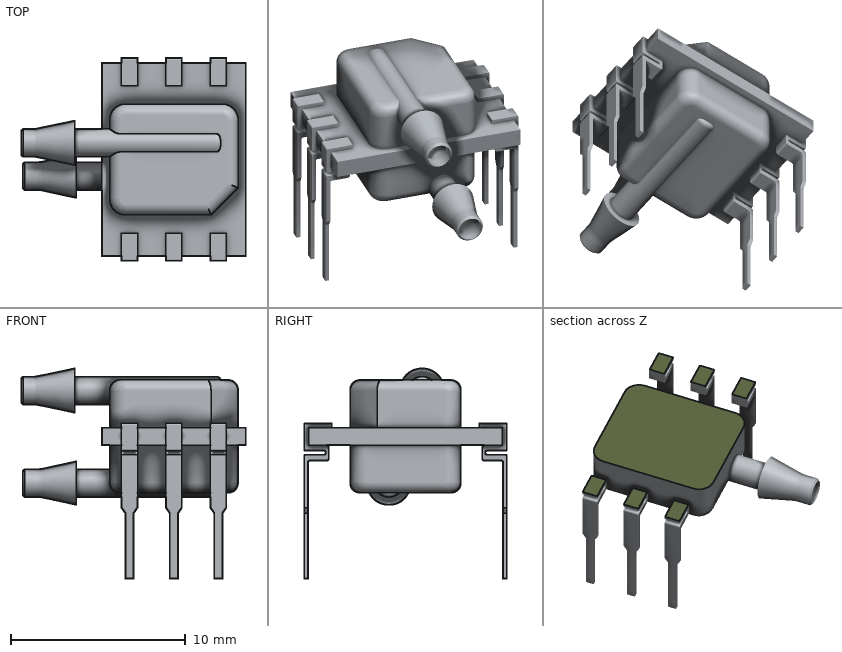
import cadquery as cq

PLATE_X = 8.23
PLATE_Y = 11.05
PLATE_Z = 1.0

HOUSING_X = 7.34
HOUSING_Y = 6.34
HOUSING_Z = 6.46
CORNER_RADIUS = 0.9
RIM_RADIUS = 0.6
KEY_CHAMFER = 1.55

TUBE_RADIUS = 0.8
BORE_RADIUS = 1.37 / 2
TUBE_END_X = 2.69
TUBE_END_FILLET = 0.28
PORT_OFFSET_Y = 0.95
UPPER_PORT_Z = 2.62
LOWER_PORT_Z = -2.67
PORT_SPACING_X = 0.09
TIP_CHAMFER = TUBE_RADIUS - BORE_RADIUS
OVERALL_X = 12.85
UPPER_TIP_X = PLATE_X / 2 - OVERALL_X
UPPER_BARB_START = 0.82
UPPER_BARB_END = 3.07
UPPER_BARB_RADIUS = 1.27
LOWER_BARB_START = 0.88
LOWER_BARB_END = 3.07
LOWER_BARB_RADIUS = 1.25
LOWER_COLLAR_LENGTH = 0.22
LOWER_COLLAR_RADIUS = 0.82

LEAD_PITCH = 2.54
LEADS_PER_ROW = 3
LEAD_OUTER_Y = 5.8
LEAD_THICKNESS = 0.25
PIN_THICKNESS = 0.23
LEAD_WIDTH = 0.92
PIN_WIDTH = 0.48
CLIP_INNER_Y = 4.21
FOLD_INNER_Y = 4.375
FOLD_BOTTOM_Z = -1.39
FOLD_SLOT_TOP_Z = -0.82
FOLD_SLOT_HEIGHT = 0.22
FOLD_SLOT_END_Y = 4.56
BEND_RADIUS = 0.1
FOLD_RADIUS = 0.15
SHOULDER_TOP_Z = -4.07
SHOULDER_BOTTOM_Z = -4.39
PIN_BOTTOM_Z = -8.13


def make_housing_half(height):
    """Plain block from the plate's mid-plane; a negative height goes down."""
    return cq.Workplane("XY").rect(HOUSING_X, HOUSING_Y).extrude(height)


def make_upper_housing():
    """Upper half, with one corner cut off to mark the orientation."""
    half = make_housing_half(HOUSING_Z / 2)
    half = half.edges("|Z and >X and <Y").chamfer(KEY_CHAMFER)
    half = half.edges("|Z and (<X or (>X and >Y))").fillet(CORNER_RADIUS)
    return half.faces(">Z").edges().fillet(RIM_RADIUS)


def make_lower_housing():
    """Lower half, with four round corners."""
    half = make_housing_half(-HOUSING_Z / 2)
    half = half.edges("|Z").fillet(CORNER_RADIUS)
    return half.faces("<Z").edges().fillet(RIM_RADIUS)


def make_port(tip_x, y, z, barb_profile):
    """Tube along X; barb_profile lists (distance from the tip, radius) along the barb."""
    barb_end = barb_profile[-1][0]
    tube_end = TUBE_END_X - tip_x
    profile = [(0, 0), (0, TUBE_RADIUS - TIP_CHAMFER), (TIP_CHAMFER, TUBE_RADIUS)]
    profile += barb_profile
    profile += [(barb_end, TUBE_RADIUS), (tube_end, TUBE_RADIUS), (tube_end, 0)]
    port = cq.Workplane("XY").polyline(profile).close().revolve(360, (0, 0, 0), (1, 0, 0))
    port = port.faces(">X").edges().fillet(TUBE_END_FILLET)
    return port.translate((tip_x, y, z))


def make_bore(tip_x, y, z):
    """Bore from the port's tip to the wall of the housing."""
    depth = -HOUSING_X / 2 - tip_x
    return cq.Workplane("YZ", origin=(tip_x, y, z)).circle(BORE_RADIUS).extrude(depth)


def fillet_bend(lead, y, z, radius):
    """Round the lead's edge along X at the given Y and Z."""
    bend_edge = cq.selectors.NearestToPointSelector((0, y, z))
    return lead.edges(bend_edge).fillet(radius)


def make_lead():
    """Lead on the +Y side at X = 0: clip around the plate, inward fold, and straight pin."""
    clip_top = PLATE_Z / 2 + LEAD_THICKNESS
    slot_bottom = FOLD_SLOT_TOP_Z - FOLD_SLOT_HEIGHT
    pin_inner_y = LEAD_OUTER_Y - PIN_THICKNESS
    side_profile = [
        (CLIP_INNER_Y, clip_top),
        (LEAD_OUTER_Y, clip_top),
        (LEAD_OUTER_Y, FOLD_SLOT_TOP_Z),
        (FOLD_SLOT_END_Y, FOLD_SLOT_TOP_Z),
        (FOLD_SLOT_END_Y, slot_bottom),
        (LEAD_OUTER_Y, slot_bottom),
        (LEAD_OUTER_Y, PIN_BOTTOM_Z),
        (pin_inner_y, PIN_BOTTOM_Z),
        (pin_inner_y, FOLD_BOTTOM_Z),
        (FOLD_INNER_Y, FOLD_BOTTOM_Z),
        (FOLD_INNER_Y, -PLATE_Z / 2),
        (PLATE_Y / 2, -PLATE_Z / 2),
        (PLATE_Y / 2, PLATE_Z / 2),
        (CLIP_INNER_Y, PLATE_Z / 2),
    ]
    lead = cq.Workplane("YZ").polyline(side_profile).close().extrude(LEAD_WIDTH / 2, both=True)
    lead = fillet_bend(lead, LEAD_OUTER_Y, clip_top, BEND_RADIUS)
    lead = fillet_bend(lead, FOLD_INNER_Y, FOLD_BOTTOM_Z, FOLD_RADIUS)
    lead = fillet_bend(lead, FOLD_INNER_Y, -PLATE_Z / 2, FOLD_RADIUS)
    lead = fillet_bend(lead, pin_inner_y, FOLD_BOTTOM_Z, BEND_RADIUS)
    for z in (FOLD_SLOT_TOP_Z, slot_bottom):
        for y in (LEAD_OUTER_Y, FOLD_SLOT_END_Y):
            lead = fillet_bend(lead, y, z, BEND_RADIUS)

    front_profile = [
        (LEAD_WIDTH / 2, clip_top),
        (LEAD_WIDTH / 2, SHOULDER_TOP_Z),
        (PIN_WIDTH / 2, SHOULDER_BOTTOM_Z),
        (PIN_WIDTH / 2, PIN_BOTTOM_Z),
    ]
    front_profile += [(-x, z) for x, z in reversed(front_profile)]
    outline = cq.Workplane("XZ").polyline(front_profile).close().extrude(-PLATE_Y)
    return lead.intersect(outline)


upper_port = (UPPER_TIP_X, PORT_OFFSET_Y, UPPER_PORT_Z)
lower_port = (UPPER_TIP_X + PORT_SPACING_X, -PORT_OFFSET_Y, LOWER_PORT_Z)
upper_barb = [
    (UPPER_BARB_START, TUBE_RADIUS),
    (UPPER_BARB_END, UPPER_BARB_RADIUS),
]
lower_barb = [
    (LOWER_BARB_START, TUBE_RADIUS),
    (LOWER_BARB_START + LOWER_COLLAR_LENGTH, LOWER_COLLAR_RADIUS),
    (LOWER_BARB_END, LOWER_BARB_RADIUS),
]

result = cq.Workplane("XY").box(PLATE_X, PLATE_Y, PLATE_Z)
result = result.union(make_upper_housing()).union(make_lower_housing())
result = result.union(make_port(*upper_port, upper_barb))
result = result.union(make_port(*lower_port, lower_barb))
result = result.cut(make_bore(*upper_port)).cut(make_bore(*lower_port))

lead = make_lead()
for index in range(LEADS_PER_ROW):
    lead_x = (index - (LEADS_PER_ROW - 1) / 2) * LEAD_PITCH
    result = result.union(lead.translate((lead_x, 0, 0)))
    result = result.union(lead.mirror("XZ").translate((lead_x, 0, 0)))